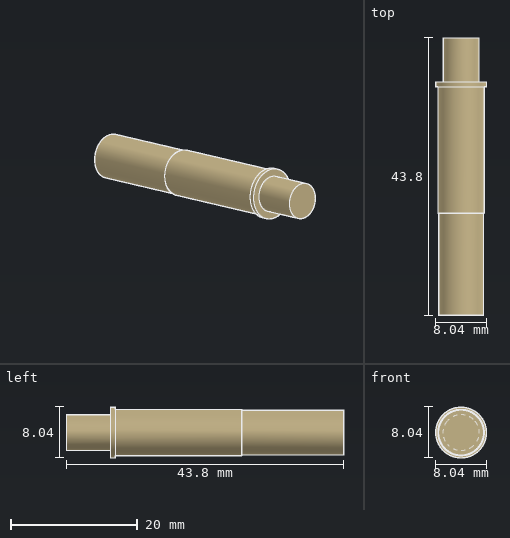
import cadquery as cq

total_length = 43.75
nose_length = 16.0
body_length = 20.0
flange_thickness = 0.8

nose_radius = 3.55
body_radius = 3.67
flange_radius = 4.02
tail_radius = 2.85

shoulder_length = body_radius - nose_radius

nose_end = -total_length / 2
body_start = nose_end + nose_length
flange_start = body_start + body_length
flange_end = flange_start + flange_thickness
tail_end = total_length / 2

half_section = (
    cq.Workplane("XY")
    .moveTo(0, nose_end)
    .lineTo(-nose_radius, nose_end)
    .lineTo(-nose_radius, body_start)
    .lineTo(-body_radius, body_start + shoulder_length)
    .lineTo(-body_radius, flange_start)
    .lineTo(-flange_radius, flange_start)
    .lineTo(-flange_radius, flange_end)
    .lineTo(-tail_radius, flange_end)
    .lineTo(-tail_radius, tail_end)
    .lineTo(0, tail_end)
    .close()
)
result = half_section.revolve(360, (0, 0, 0), (0, 1, 0))